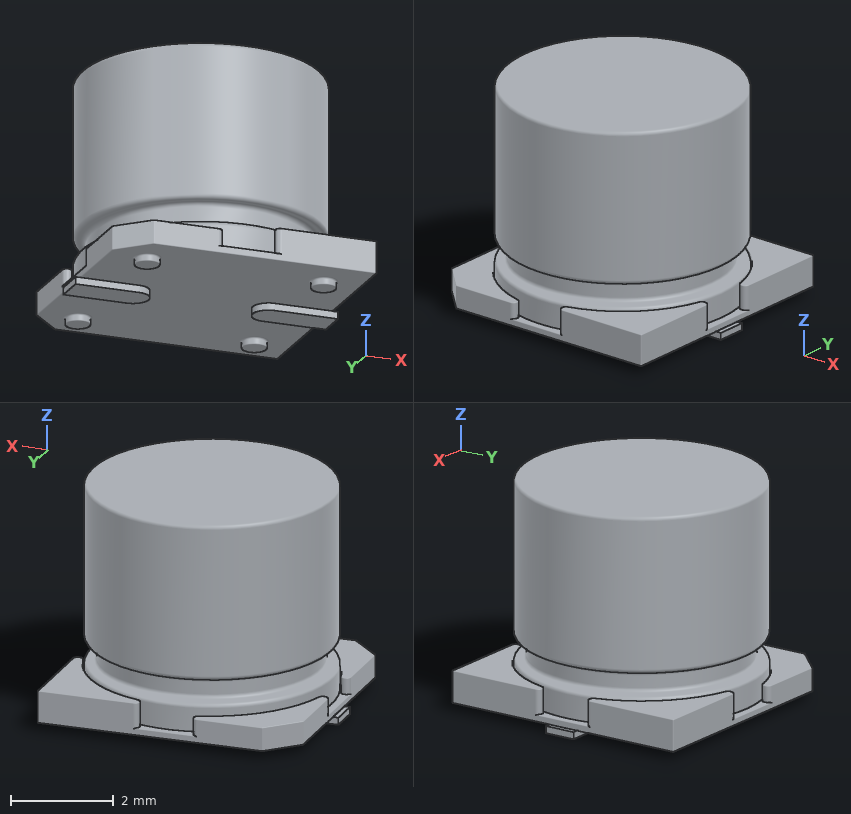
import cadquery as cq
import math

can_radius = 5.0 / 2
neck_radius = 4.5 / 2
total_height = 4.6
edge_round = 0.1
crimp_bottom = 0.895
crimp_top = 1.355

base_side = 5.3
base_bottom = 0.15
floor_top = 0.3
low_wall_top = 0.65
high_wall_top = 0.825
corner_cut = 0.625
gap_width = 1.12
can_clearance = 0.03
edge_break = 0.02

terminal_width = 0.66
terminal_span = 5.5
terminal_inner_end = 1.09
foot_diameter = 0.5
foot_offset = 1.85
foot_flare = 0.04


def make_can():
    """Revolve the half profile of the can about Z."""
    r = edge_round
    bend = r * math.sqrt(0.5)

    def rounded(profile, centre_x, centre_z, mid_signs, end):
        middle = (centre_x + mid_signs[0] * bend, centre_z + mid_signs[1] * bend)
        return profile.threePointArc(middle, end)

    outer = can_radius - r
    inner = neck_radius + r
    profile = cq.Workplane("XZ").moveTo(0, floor_top).lineTo(can_radius, floor_top)
    profile = profile.lineTo(can_radius, crimp_bottom - r)
    profile = rounded(profile, outer, crimp_bottom - r, (1, 1), (outer, crimp_bottom))
    profile = profile.lineTo(inner, crimp_bottom)
    profile = rounded(profile, inner, crimp_bottom + r, (-1, -1), (neck_radius, crimp_bottom + r))
    profile = profile.lineTo(neck_radius, crimp_top - r)
    profile = rounded(profile, inner, crimp_top - r, (-1, 1), (inner, crimp_top))
    profile = profile.lineTo(outer, crimp_top)
    profile = rounded(profile, outer, crimp_top + r, (1, -1), (can_radius, crimp_top + r))
    profile = profile.lineTo(can_radius, total_height - r)
    profile = rounded(profile, outer, total_height - r, (1, 1), (outer, total_height))
    return profile.lineTo(0, total_height).close().revolve(360, (0, 0), (0, 1))


def base_block(bottom, top):
    """Square block with the two -X corners cut off and its upright edges rounded."""
    block = cq.Workplane("XY", origin=(0, 0, bottom)).rect(base_side, base_side).extrude(top - bottom)
    block = block.edges("|Z and <X").chamfer(corner_cut)
    return block.edges("|Z").fillet(edge_break)


def corner_wall(x_sign, y_sign, top):
    """Raised wall filling one corner of the tray outside the can."""
    foot = base_bottom + edge_break
    inner_edge = gap_width / 2
    wall_side = base_side / 2 - inner_edge
    middle = inner_edge + wall_side / 2
    wall = cq.Workplane("XY", origin=(x_sign * middle, y_sign * middle, foot))
    wall = wall.rect(wall_side, wall_side).extrude(top - foot)
    wall = wall.cut(cq.Workplane("XY").circle(can_radius + can_clearance).extrude(total_height))
    wall_end_x = wall.edges("|Z").edges(cq.selectors.CenterNthSelector(cq.Vector(x_sign, 0, 0), 0))
    wall_end_y = wall.edges("|Z").edges(cq.selectors.CenterNthSelector(cq.Vector(0, y_sign, 0), 0))
    wall = wall.newObject(wall_end_x.vals() + wall_end_y.vals()).fillet(edge_round)
    wall = wall.intersect(base_block(foot, top))
    return wall.faces(">Z").edges().fillet(edge_break)


def make_base():
    base = base_block(base_bottom, floor_top)
    base = base.faces("<Z or >Z").edges().fillet(edge_break)
    for x_sign, top in ((-1, low_wall_top), (1, high_wall_top)):
        for y_sign in (-1, 1):
            base = base.union(corner_wall(x_sign, y_sign, top))
    return base


def make_terminal(x_sign):
    """Flat lead with a rounded inner tip, reaching past the base along X."""
    radius = terminal_width / 2
    tip_centre = terminal_inner_end + radius
    outer_end = terminal_span / 2
    lead_length = outer_end - tip_centre
    lead = cq.Workplane("XY").center(x_sign * (tip_centre + outer_end) / 2, 0)
    lead = lead.rect(lead_length, terminal_width).extrude(base_bottom)
    tip = cq.Workplane("XY").center(x_sign * tip_centre, 0).circle(radius).extrude(base_bottom)
    return lead.union(tip)


def make_feet():
    """Four round pads, rounded at the bottom and flaring into the base at the top."""
    radius = foot_diameter / 2
    flared_radius = radius + foot_flare
    profile = cq.Workplane("XZ").lineTo(radius, 0).lineTo(radius, base_bottom - foot_flare)
    profile = profile.radiusArc((flared_radius, base_bottom), foot_flare)
    foot = profile.lineTo(0, base_bottom).close().revolve(360, (0, 0), (0, 1))
    foot = foot.faces("<Z").edges().fillet(edge_break)
    pitch = 2 * foot_offset
    places = cq.Workplane("XY").rarray(pitch, pitch, 2, 2)
    return places.eachpoint(lambda place: foot.val().located(place))


result = make_can().union(make_base()).union(make_feet())
for side in (-1, 1):
    result = result.union(make_terminal(side))